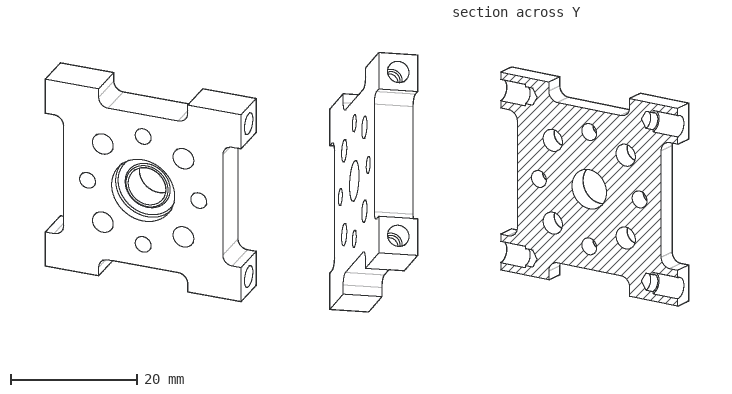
import cadquery as cq
import math

width = 33.53
height = 33.03
thickness = 6.35
front_y = -thickness / 2

corner_block_width = 9.15
corner_block_height = 6.05
notch_depth = 3.12
notch_radius = 1.6

large_hole_diameter = 3.55
large_hole_circle_radius = 9.75
small_hole_diameter = 2.7
small_hole_circle_radius = 9.52

bore_radius = 3.22
recess_radius = 5.4
recess_depth = 1.88
recess_floor_radius = 5.05
recess_chamfer_height = 0.2
ring_base_radius = 3.85
ring_top_radius = 3.6
ring_height = 0.27

end_hole_offset_z = (height - corner_block_height) / 2
end_hole_radius = 1.75
end_hole_depth = 4.7
pilot_radius = 1.37
pilot_depth = 6.05
drill_point_angle = 118.0
drill_tip_length = pilot_radius / math.tan(math.radians(drill_point_angle / 2))


def notch(length, offset_x, offset_z, along_x):
    """Full-thickness edge notch with rounded inner corners."""
    size_x = length if along_x else 2 * notch_depth
    size_z = 2 * notch_depth if along_x else length
    cutter = cq.Workplane("XY").box(size_x, thickness, size_z)
    return cutter.edges("|Y").fillet(notch_radius).translate((offset_x, 0, offset_z))


def through_holes(diameter, circle_radius, start_angle):
    """Four equally spaced cylinders along Y."""
    return (
        cq.Workplane("XZ")
        .polarArray(circle_radius, start_angle, 360, 4)
        .circle(diameter / 2)
        .extrude(thickness / 2, both=True)
    )


def central_bore():
    """Half section of the recess and bore, revolved about Y."""
    floor_y = front_y + recess_depth
    ring_top_y = floor_y - ring_height
    profile = [
        (0, front_y),
        (recess_radius, front_y),
        (recess_radius, floor_y - recess_chamfer_height),
        (recess_floor_radius, floor_y),
        (ring_base_radius, floor_y),
        (ring_top_radius, ring_top_y),
        (bore_radius, ring_top_y),
        (bore_radius, thickness / 2),
        (0, thickness / 2),
    ]
    return cq.Workplane("XY").polyline(profile).close().revolve(360, (0, 0, 0), (0, 1, 0))


def end_hole():
    """Stepped hole running inward from the -X end, with a conical tip."""
    profile = [
        (0, 0),
        (0, end_hole_radius),
        (end_hole_depth, end_hole_radius),
        (end_hole_depth, pilot_radius),
        (pilot_depth, pilot_radius),
        (pilot_depth + drill_tip_length, 0),
    ]
    hole = cq.Workplane("XY").polyline(profile).close().revolve(360, (0, 0, 0), (1, 0, 0))
    return hole.translate((-width / 2, 0, 0))


result = cq.Workplane("XY").box(width, thickness, height)

for side in (-1, 1):
    result = result.cut(notch(width - 2 * corner_block_width, 0, side * height / 2, True))
    result = result.cut(notch(height - 2 * corner_block_height, side * width / 2, 0, False))

result = result.cut(through_holes(large_hole_diameter, large_hole_circle_radius, 45))
result = result.cut(through_holes(small_hole_diameter, small_hole_circle_radius, 0))
result = result.cut(central_bore())

for side in (-1, 1):
    left_hole = end_hole().translate((0, 0, side * end_hole_offset_z))
    result = result.cut(left_hole)
    result = result.cut(left_hole.mirror("YZ"))